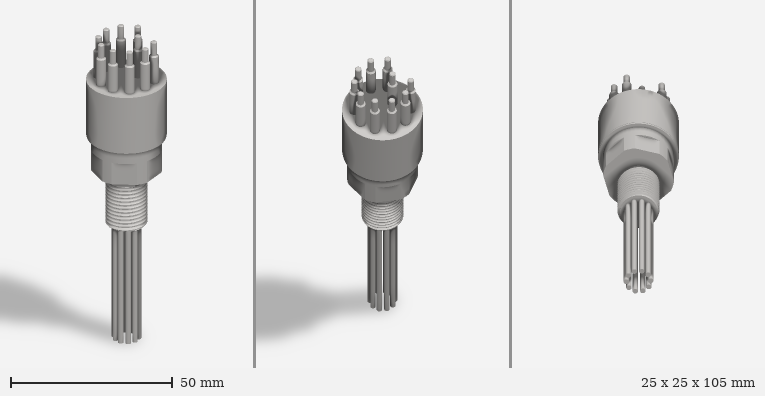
import cadquery as cq
import math

THREAD_BOTTOM = 40.1
NECK_BOTTOM = 57.0
HEX_BOTTOM = 59.1
HEX_TOP = 66.7
HEAD_BOTTOM = 71.1
RIM_TOP = 71.7
HEAD_TOP = 90.7
SLEEVE_TOP = 100.0
SHOULDER_TOP = 100.4
PIN_TOP = 105.0

HEAD_DIAMETER = 25.0
RIM_DIAMETER = 24.8
COLLAR_DIAMETER = 22.0
HEX_ACROSS_FLATS = 20.6
HEX_SIDES = 6
NECK_DIAMETER = 9.2

THREAD_DIAMETER = 13.0
ROOT_DIAMETER = 11.4
THREAD_TIP_DIAMETER = 11.7
TIP_BEVEL_HEIGHT = 0.6
NECK_BEVEL_HEIGHT = 1.0
RIDGE_START = 39.7
RIDGE_LENGTH = 16.5
RIDGE_TURNS = 13
THREAD_PITCH = RIDGE_LENGTH / RIDGE_TURNS
RIDGE_BASE_WIDTH = 1.3
RIDGE_CREST_WIDTH = 0.2
RIDGE_EMBED = 0.1
RIDGE_OVERSIZE = 0.1

PIN_DIAMETER = 2.0
PIN_TIP_DIAMETER = 1.5
SLEEVE_DIAMETER = 3.0
PIN_CIRCLE_RADIUS = 8.7
PIN_ANGLE_STEP = 35
RING_PIN_COUNT = 9
RING_MIDDLE_ANGLE = -90
INNER_PIN_Y = 4.0

WIRE_DIAMETER = 1.7
WIRE_CIRCLE_RADIUS = 3.8
WIRE_COUNT = 10
WIRE_MIDDLE_ANGLE = 360 / WIRE_COUNT / 2 - 90

ROOT_OVERLAP = 0.5


def cylinder(diameter, bottom, top):
    return cq.Workplane("XY").workplane(offset=bottom).circle(diameter / 2).extrude(top - bottom)


def points_on_circle(radius, count, step, middle_angle):
    """Points spaced by `step` degrees, centred on `middle_angle`."""
    first = middle_angle - step * (count - 1) / 2
    angles = [math.radians(first + step * i) for i in range(count)]
    return [(radius * math.cos(a), radius * math.sin(a)) for a in angles]


def make_body():
    """Head with a slightly smaller rim below, collar, six wrench flats and neck."""
    head = cylinder(HEAD_DIAMETER, RIM_TOP, HEAD_TOP)
    rim = cylinder(RIM_DIAMETER, HEAD_BOTTOM, RIM_TOP)
    collar = cylinder(COLLAR_DIAMETER, HEX_TOP, HEAD_BOTTOM)
    across_corners = HEX_ACROSS_FLATS / math.cos(math.pi / HEX_SIDES)
    hexagon = (
        cq.Workplane("XY")
        .workplane(offset=HEX_BOTTOM)
        .polygon(HEX_SIDES, across_corners)
        .extrude(HEX_TOP - HEX_BOTTOM)
    )
    flats = hexagon.intersect(cylinder(COLLAR_DIAMETER, HEX_BOTTOM, HEX_TOP))
    neck = cylinder(NECK_DIAMETER, NECK_BOTTOM, HEX_BOTTOM)
    return head.union(rim).union(collar).union(flats).union(neck)


def make_thread():
    """Cylindrical core with one helical ridge, both trimmed by a bevelled envelope."""
    neck_radius = NECK_DIAMETER / 2
    tip_radius = THREAD_TIP_DIAMETER / 2
    root_radius = ROOT_DIAMETER / 2
    crest_radius = THREAD_DIAMETER / 2

    envelope = (
        cq.Workplane("XZ")
        .moveTo(0, THREAD_BOTTOM)
        .lineTo(tip_radius, THREAD_BOTTOM)
        .lineTo(crest_radius, THREAD_BOTTOM + TIP_BEVEL_HEIGHT)
        .lineTo(crest_radius, NECK_BOTTOM - NECK_BEVEL_HEIGHT)
        .lineTo(neck_radius, NECK_BOTTOM)
        .lineTo(0, NECK_BOTTOM)
        .close()
        .revolve(360, (0, 0, 0), (0, 1, 0))
    )
    core = cylinder(ROOT_DIAMETER, THREAD_BOTTOM, NECK_BOTTOM)

    base_radius = root_radius - RIDGE_EMBED
    outer_radius = crest_radius + RIDGE_OVERSIZE
    helix = cq.Workplane(
        cq.Wire.makeHelix(THREAD_PITCH, RIDGE_LENGTH, base_radius, cq.Vector(0, 0, RIDGE_START))
    )
    ridge = (
        cq.Workplane("XZ")
        .moveTo(base_radius, RIDGE_START - RIDGE_BASE_WIDTH / 2)
        .lineTo(outer_radius, RIDGE_START - RIDGE_CREST_WIDTH / 2)
        .lineTo(outer_radius, RIDGE_START + RIDGE_CREST_WIDTH / 2)
        .lineTo(base_radius, RIDGE_START + RIDGE_BASE_WIDTH / 2)
        .close()
        .sweep(helix, isFrenet=True)
    )
    return core.intersect(envelope).union(ridge.intersect(envelope))


def make_pin():
    """Stepped pin on the axis: a sleeve with a conical shoulder and a thinner tip."""
    sleeve_radius = SLEEVE_DIAMETER / 2
    pin_radius = PIN_DIAMETER / 2
    tip_radius = PIN_TIP_DIAMETER / 2
    base = HEAD_TOP - ROOT_OVERLAP
    return (
        cq.Workplane("XZ")
        .moveTo(0, base)
        .lineTo(sleeve_radius, base)
        .lineTo(sleeve_radius, SLEEVE_TOP)
        .lineTo(pin_radius, SHOULDER_TOP)
        .lineTo(pin_radius, PIN_TOP - (pin_radius - tip_radius))
        .lineTo(tip_radius, PIN_TOP)
        .lineTo(0, PIN_TOP)
        .close()
        .revolve(360, (0, 0, 0), (0, 1, 0))
    )


def make_pins():
    """Nine pins on a circle, leaving a gap at +Y, and one nearer the axis."""
    points = points_on_circle(PIN_CIRCLE_RADIUS, RING_PIN_COUNT, PIN_ANGLE_STEP, RING_MIDDLE_ANGLE)
    points.append((0, INNER_PIN_Y))
    pins = cq.Workplane("XY")
    for x, y in points:
        pins = pins.union(make_pin().translate((x, y, 0)))
    return pins


def make_wires():
    """Ring of straight wires, hanging from the threaded end down to height zero."""
    step = 360 / WIRE_COUNT
    return (
        cq.Workplane("XY")
        .pushPoints(points_on_circle(WIRE_CIRCLE_RADIUS, WIRE_COUNT, step, WIRE_MIDDLE_ANGLE))
        .circle(WIRE_DIAMETER / 2)
        .extrude(THREAD_BOTTOM + ROOT_OVERLAP)
    )


result = make_thread().union(make_wires()).union(make_body()).union(make_pins())